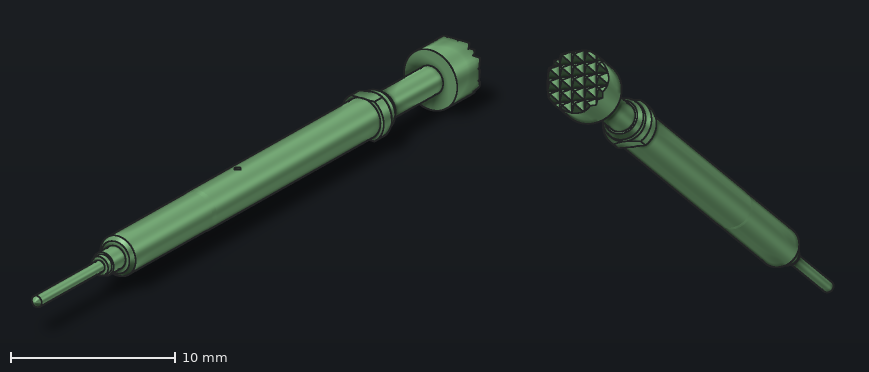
import cadquery as cq
import math

TOTAL_LENGTH = 44.8
HEAD_TIP_Y = TOTAL_LENGTH / 2
TAIL_TIP_Y = -TOTAL_LENGTH / 2

HEAD_RADIUS = 1.995
HEAD_LENGTH = 3.0
TEETH_ACROSS = 5
TOOTH_SPAN = 3.2
TOOTH_ANGLE = 60.0
CUTTER_CLEARANCE = 0.45

STEM_RADIUS = 0.95
COLLAR_DISTANCE = 8.2

LEAD_IN_RADIUS = 1.08
NECK_RADIUS = 1.32
RING_RADIUS = 1.59
LEAD_IN_LENGTH = 0.4
NECK_LENGTH = 0.4
SHOULDER_LENGTH = 0.3
RING_LENGTH = 0.85
FLAT_DISTANCE = 1.32

BARREL_RADIUS = 1.35
REAR_BARREL_RADIUS = 1.32
TAPER_DISTANCE = 27.4
TAPER_LENGTH = 0.4
REAR_BARREL_LENGTH = 8.1
BARREL_CHAMFER_RADIUS = 1.055
BARREL_CHAMFER_LENGTH = 0.25

DIMPLE_DISTANCE = 23.35
DIMPLE_DIAMETER = 0.4
DIMPLE_DEPTH = 0.15

PLUG_RADIUS = 0.75
PLUG_LENGTH = 1.25
PLUG_END_RADIUS = 0.63
PLUG_END_LENGTH = 0.4
PIN_RADIUS = 0.38
PIN_POINT_LENGTH = 0.3


def turned_body():
    """Revolve the half outline, listed from the head to the tail, about the Y axis."""
    head_back_y = HEAD_TIP_Y - HEAD_LENGTH
    collar_y = HEAD_TIP_Y - COLLAR_DISTANCE
    neck_y = collar_y - LEAD_IN_LENGTH
    shoulder_y = neck_y - NECK_LENGTH
    ring_y = shoulder_y - SHOULDER_LENGTH
    ring_back_y = ring_y - RING_LENGTH
    taper_y = HEAD_TIP_Y - TAPER_DISTANCE
    rear_y = taper_y - TAPER_LENGTH
    chamfer_y = rear_y - REAR_BARREL_LENGTH
    plug_y = chamfer_y - BARREL_CHAMFER_LENGTH
    plug_end_y = plug_y - PLUG_LENGTH
    pin_y = plug_end_y - PLUG_END_LENGTH
    point_y = TAIL_TIP_Y + PIN_POINT_LENGTH

    outline = [
        (0, HEAD_TIP_Y),
        (HEAD_RADIUS, HEAD_TIP_Y),
        (HEAD_RADIUS, head_back_y),
        (STEM_RADIUS, head_back_y),
        (STEM_RADIUS, collar_y),
        (LEAD_IN_RADIUS, collar_y),
        (NECK_RADIUS, neck_y),
        (NECK_RADIUS, shoulder_y),
        (RING_RADIUS, ring_y),
        (RING_RADIUS, ring_back_y),
        (BARREL_RADIUS, ring_back_y),
        (BARREL_RADIUS, taper_y),
        (REAR_BARREL_RADIUS, rear_y),
        (REAR_BARREL_RADIUS, chamfer_y),
        (BARREL_CHAMFER_RADIUS, plug_y),
        (PLUG_RADIUS, plug_y),
        (PLUG_RADIUS, plug_end_y),
        (PLUG_END_RADIUS, plug_end_y),
        (PLUG_END_RADIUS, pin_y),
        (PIN_RADIUS, pin_y),
        (PIN_RADIUS, point_y),
        (0, TAIL_TIP_Y),
    ]
    return cq.Workplane("XY").polyline(outline).close().revolve(360, (0, 0, 0), (0, 1, 0))


def tooth_cutter():
    """Space above the teeth seen along one direction: V valleys between ridges, slopes outside."""
    slope = 1 / math.tan(math.radians(TOOTH_ANGLE / 2))
    pitch = TOOTH_SPAN / (TEETH_ACROSS - 1)
    valley_y = HEAD_TIP_Y - pitch / 2 * slope
    half_width = HEAD_RADIUS + CUTTER_CLEARANCE
    edge_y = HEAD_TIP_Y - (half_width - TOOTH_SPAN / 2) * slope
    top_y = HEAD_TIP_Y + CUTTER_CLEARANCE

    profile = [(-half_width, top_y), (-half_width, edge_y)]
    for i in range(TEETH_ACROSS):
        ridge_x = i * pitch - TOOTH_SPAN / 2
        if i > 0:
            profile.append((ridge_x - pitch / 2, valley_y))
        profile.append((ridge_x, HEAD_TIP_Y))
    profile += [(half_width, edge_y), (half_width, top_y)]
    return cq.Workplane("XY").polyline(profile).close().extrude(half_width, both=True)


def ring_flats():
    """Blocks that trim the stop ring to two flats, at +Z and -Z."""
    length = NECK_LENGTH + SHOULDER_LENGTH + RING_LENGTH
    center_y = HEAD_TIP_Y - COLLAR_DISTANCE - LEAD_IN_LENGTH - length / 2
    block = cq.Workplane("XY").box(2 * RING_RADIUS, length, RING_RADIUS, centered=(True, True, False))
    upper = block.translate((0, center_y, FLAT_DISTANCE))
    return upper.union(upper.mirror("XY"))


def dimple():
    """Small round blind recess in the barrel."""
    floor_z = BARREL_RADIUS - DIMPLE_DEPTH
    return (
        cq.Workplane("XY", origin=(0, HEAD_TIP_Y - DIMPLE_DISTANCE, floor_z))
        .circle(DIMPLE_DIAMETER / 2)
        .extrude(2 * DIMPLE_DEPTH)
    )


result = turned_body()
for turn in (0, 90):
    result = result.cut(tooth_cutter().rotate((0, 0, 0), (0, 1, 0), turn))
result = result.cut(ring_flats())
result = result.cut(dimple())